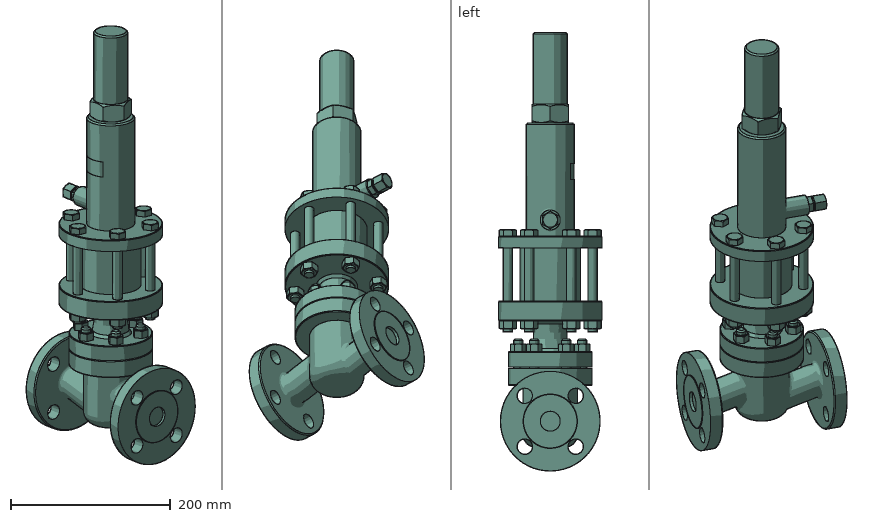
import cadquery as cq
import math


face_to_face = 184.0
flange_dia = 125.0
flange_thickness = 17.0
flange_back_chamfer = 1.5
raised_face_dia = 68.0
raised_face_height = 1.0
raised_face_chamfer = 0.5
flange_bolt_circle = 90.0
flange_hole_dia = 19.0
flange_hole_count = 4
first_flange_hole_angle = 45
bore_dia = 25.0
bore_depth = 4.0

branch_dia = 42.0
branch_hub_length = 4.5
branch_bend_radius = 25.0
hub_fillet = branch_hub_length
branch_fillet = 6.0
branch_slope = math.radians(13.5)

body_dia = 68.5
body_bottom_z = -33.0
body_corner_radius = 17.0

bonnet_dia = 105.0
bonnet_bottom_z = 45.0
bonnet_top_z = 87.0
bonnet_gap_z = 67.0
bonnet_gap = 1.5
bonnet_gasket_dia = 76.0
bonnet_chamfer = 1.0
bonnet_bolt_circle = 80.0
bonnet_nut_flats = 17.0
bonnet_nut_height = 10.0
bonnet_stud_dia = 12.0
bonnet_stud_chamfer = 2.0
bonnet_stud_top_z = 103.0

neck_dia = 42.0
neck_shoulder_dia = 46.0
neck_flare_dia = 52.0
neck_flare_height = 4.0
neck_waist_bottom_z = 102.5
neck_waist_top_z = 110.5

cage_dia = 130.0
lower_plate_bottom_z = 125.5
lower_plate_top_z = 150.5
upper_plate_bottom_z = 217.0
upper_plate_top_z = 232.0
cage_cylinder_dia = 76.0
cage_bolt_circle = 106.0
cage_rod_dia = 12.0
cage_hex_flats = 19.0
cage_head_height = 8.0
cage_nut_height = 10.0
cage_rod_end_length = 3.5
cage_chamfer = 1.0
bolt_count = 6
first_bolt_angle = 90
bolt_turn = 90

housing_dia = 60.5
housing_top_z = 373.5
housing_chamfer = 2.0
nameplate_width = 32.0
nameplate_height = 20.0
nameplate_mid_z = 313.0
nameplate_recess_dia = 59.9
cap_nut_flats = 46.0
cap_nut_top_z = 397.0
cap_dia = 42.7
cap_top_z = 487.0
cap_chamfer = 2.0

port_z = 252.0
port_dia = 25.0
port_end_x = -59.0
port_fillet = 2.0
plug_flats = 19.0
plug_neck_dia = 17.3
collar_end_x = -66.0
plug_start_x = -68.0
plug_end_x = -83.5

hex_chamfer_angle = math.radians(30)
chamfer_circle_ratio = 0.95
overlap = 1.0


def disc(diameter, bottom_z, top_z):
    """Upright cylinder on the stem axis."""
    return cq.Workplane("XY").workplane(offset=bottom_z).circle(diameter / 2).extrude(top_z - bottom_z)


def x_cylinder(diameter, start_x, end_x, z=0.0):
    """Cylinder along X at height z."""
    plane = cq.Plane(origin=(start_x, 0, z), xDir=(0, 1, 0), normal=(1, 0, 0))
    return cq.Workplane(plane).circle(diameter / 2).extrude(end_x - start_x)


def hexagon(flats, height, turn=0.0, chamfer_top=True, chamfer_bottom=False):
    """Upright hexagonal prism on z = 0 with its corners turned down; a corner points along X at turn = 0."""
    corner_radius = flats / math.sqrt(3)
    circle_radius = flats / 2 * chamfer_circle_ratio
    drop = (corner_radius - circle_radius) * math.tan(hex_chamfer_angle)
    prism = cq.Workplane("XY").polygon(6, 2 * corner_radius).extrude(height)
    prism = prism.rotate((0, 0, 0), (0, 0, 1), turn)
    envelope = [(0, 0)]
    if chamfer_bottom:
        envelope += [(circle_radius, 0), (corner_radius, drop)]
    else:
        envelope += [(corner_radius, 0)]
    if chamfer_top:
        envelope += [(corner_radius, height - drop), (circle_radius, height)]
    else:
        envelope += [(corner_radius, height)]
    envelope += [(0, height)]
    cone = cq.Workplane("XZ").polyline(envelope).close().revolve(360, (0, 0, 0), (0, 1, 0))
    return prism.intersect(cone)


def around_stem(item, bolt_circle):
    """Copies of an item centred on Z, spread over a bolt circle with two of them on the Y axis."""
    copies = []
    for index in range(bolt_count):
        angle = math.radians(first_bolt_angle + index * 360 / bolt_count)
        radius = bolt_circle / 2
        copies.append(item.translate((radius * math.cos(angle), radius * math.sin(angle), 0)))
    return copies


def make_end_flange():
    """Flange of the -X end, with its raised face, bolt holes and blind bore."""
    face_x = -face_to_face / 2
    front_x = face_x + raised_face_height
    back_x = front_x + flange_thickness
    flange = x_cylinder(flange_dia, front_x, back_x).faces(">X").chamfer(flange_back_chamfer)
    raised_face = x_cylinder(raised_face_dia, face_x, front_x).faces("<X").chamfer(raised_face_chamfer)
    flange = flange.union(raised_face)
    hole_radius = flange_bolt_circle / 2
    for index in range(flange_hole_count):
        angle = math.radians(first_flange_hole_angle + index * 360 / flange_hole_count)
        hole = x_cylinder(flange_hole_dia, front_x, back_x, hole_radius * math.sin(angle))
        flange = flange.cut(hole.translate((0, hole_radius * math.cos(angle), 0)))
    return flange.cut(x_cylinder(bore_dia, face_x, face_x + bore_depth))


def make_branch():
    """Branch pipe of the -X end: a short straight hub, then a bend into a pipe sloping down to the body."""
    start_x = -face_to_face / 2 + raised_face_height + flange_thickness
    bend_x = start_x + branch_hub_length
    slope_x = bend_x + branch_bend_radius * math.sin(branch_slope)
    slope_z = -branch_bend_radius * (1 - math.cos(branch_slope))
    half_slope = branch_slope / 2
    mid_x = bend_x + branch_bend_radius * math.sin(half_slope)
    mid_z = -branch_bend_radius * (1 - math.cos(half_slope))
    end_x = -body_dia / 4
    end_z = slope_z - (end_x - slope_x) * math.tan(branch_slope)
    path = (
        cq.Workplane("XZ")
        .moveTo(start_x, 0)
        .lineTo(bend_x, 0)
        .threePointArc((mid_x, mid_z), (slope_x, slope_z))
        .lineTo(end_x, end_z)
    )
    plane = cq.Plane(origin=(start_x, 0, 0), xDir=(0, 1, 0), normal=(1, 0, 0))
    return cq.Workplane(plane).circle(branch_dia / 2).sweep(path)


def make_hub_fillet():
    """Concave ring where the branch pipe meets the back of the -X flange."""
    back_x = -face_to_face / 2 + raised_face_height + flange_thickness
    radius = branch_dia / 2
    return (
        cq.Workplane("XZ")
        .moveTo(back_x, 0)
        .lineTo(back_x, radius + hub_fillet)
        .radiusArc((back_x + hub_fillet, radius), -hub_fillet)
        .lineTo(back_x + hub_fillet, 0)
        .close()
        .revolve(360, (0, 0, 0), (1, 0, 0))
    )


def both_ends(item):
    """The item of the -X end together with its copy turned half a turn about Y for the +X end."""
    return item.union(item.rotate((0, 0, 0), (0, 1, 0), 180))


def make_body():
    """Round body with a well rounded bottom corner."""
    body = disc(body_dia, body_bottom_z, bonnet_bottom_z)
    return body.faces("<Z").edges().fillet(body_corner_radius)


def make_bonnet():
    """Two bolted discs parted by a narrow gap around the gasket, with studs and nuts on top."""
    lower = disc(bonnet_dia, bonnet_bottom_z, bonnet_gap_z - bonnet_gap / 2)
    lower = lower.faces("<Z").chamfer(bonnet_chamfer)
    upper = disc(bonnet_dia, bonnet_gap_z + bonnet_gap / 2, bonnet_top_z)
    upper = upper.faces(">Z").chamfer(bonnet_chamfer)
    bonnet = lower.union(upper).union(disc(bonnet_gasket_dia, bonnet_bottom_z, bonnet_top_z))
    nut = hexagon(bonnet_nut_flats, bonnet_nut_height, turn=bolt_turn).translate((0, 0, bonnet_top_z))
    stud = disc(bonnet_stud_dia, bonnet_bottom_z + overlap, bonnet_stud_top_z)
    stud = stud.faces(">Z").chamfer(bonnet_stud_chamfer)
    for bolt in around_stem(nut.union(stud), bonnet_bolt_circle):
        bonnet = bonnet.union(bolt)
    return bonnet


def make_neck():
    """Waisted neck that flares at both ends."""
    flare = neck_flare_dia / 2
    shoulder = neck_shoulder_dia / 2
    waist = neck_dia / 2
    outline = [
        (0, bonnet_top_z),
        (flare, bonnet_top_z),
        (shoulder, bonnet_top_z + neck_flare_height),
        (waist, neck_waist_bottom_z),
        (waist, neck_waist_top_z),
        (shoulder, lower_plate_bottom_z - neck_flare_height),
        (flare, lower_plate_bottom_z),
        (0, lower_plate_bottom_z),
    ]
    return cq.Workplane("XZ").polyline(outline).close().revolve(360, (0, 0, 0), (0, 1, 0))


def make_cage():
    """Two plates around a cylinder, held together by long bolts with heads on top and nuts below."""
    cage = disc(cage_dia, lower_plate_bottom_z, lower_plate_top_z).faces("<Z or >Z").chamfer(cage_chamfer)
    cage = cage.union(disc(cage_cylinder_dia, lower_plate_top_z, upper_plate_bottom_z))
    upper_plate = disc(cage_dia, upper_plate_bottom_z, upper_plate_top_z).faces(">Z").chamfer(cage_chamfer)
    cage = cage.union(upper_plate)
    nut_bottom_z = lower_plate_bottom_z - cage_nut_height
    head = hexagon(cage_hex_flats, cage_head_height, turn=bolt_turn).translate((0, 0, upper_plate_top_z))
    nut = hexagon(cage_hex_flats, cage_nut_height, turn=bolt_turn, chamfer_top=False, chamfer_bottom=True)
    nut = nut.translate((0, 0, nut_bottom_z))
    rod = disc(cage_rod_dia, nut_bottom_z - cage_rod_end_length, upper_plate_top_z)
    for bolt in around_stem(head.union(rod).union(nut), cage_bolt_circle):
        cage = cage.union(bolt)
    return cage


def make_housing():
    """Spring housing with the side port pipe blended in and a shallow nameplate recess at -Y."""
    housing = disc(housing_dia, upper_plate_top_z, housing_top_z).faces(">Z").chamfer(housing_chamfer)
    housing = housing.union(x_cylinder(port_dia, port_end_x, 0, port_z))
    pipe_zone = cq.selectors.BoxSelector(
        (-housing_dia / 2 - overlap, -port_dia, port_z - port_dia),
        (-overlap, port_dia, port_z + port_dia),
        boundingbox=True,
    )
    housing = housing.edges(pipe_zone).edges("not %CIRCLE").edges("not %LINE").fillet(port_fillet)
    window = cq.Workplane("XY").box(nameplate_width, housing_dia, nameplate_height)
    window = window.translate((0, -housing_dia / 2, nameplate_mid_z))
    core = disc(nameplate_recess_dia, upper_plate_top_z, housing_top_z)
    return housing.cut(window.cut(core))


def make_cap():
    """Hexagon nut and round cap on top of the housing."""
    nut = hexagon(cap_nut_flats, cap_nut_top_z - housing_top_z, chamfer_bottom=True)
    nut = nut.translate((0, 0, housing_top_z))
    cap = disc(cap_dia, cap_nut_top_z, cap_top_z).faces(">Z").chamfer(cap_chamfer)
    return nut.union(cap)


def make_port():
    """Hexagon collar and plug that close the side port pipe."""

    def plug_hexagon(start_x, end_x, chamfer_top):
        prism = hexagon(plug_flats, start_x - end_x, chamfer_top=chamfer_top)
        return prism.rotate((0, 0, 0), (0, 1, 0), -90).translate((start_x, 0, port_z))

    port = plug_hexagon(port_end_x, collar_end_x, False)
    port = port.union(x_cylinder(plug_neck_dia, plug_start_x, collar_end_x, port_z))
    return port.union(plug_hexagon(plug_start_x, plug_end_x, True))


def make_valve():
    """Valve body blended into its two branch pipes, with the end flanges."""
    valve = make_body().union(both_ends(make_branch()))
    seam_zone = cq.selectors.BoxSelector(
        (-body_dia / 2 - overlap, -branch_dia, body_bottom_z),
        (body_dia / 2 + overlap, branch_dia, bonnet_bottom_z),
        boundingbox=True,
    )
    valve = valve.edges(seam_zone).edges("not %CIRCLE").edges("not %LINE").fillet(branch_fillet)
    return valve.union(both_ends(make_end_flange().union(make_hub_fillet())))


result = make_valve()
for section in (make_bonnet(), make_neck(), make_cage(), make_housing(), make_cap(), make_port()):
    result = result.union(section)